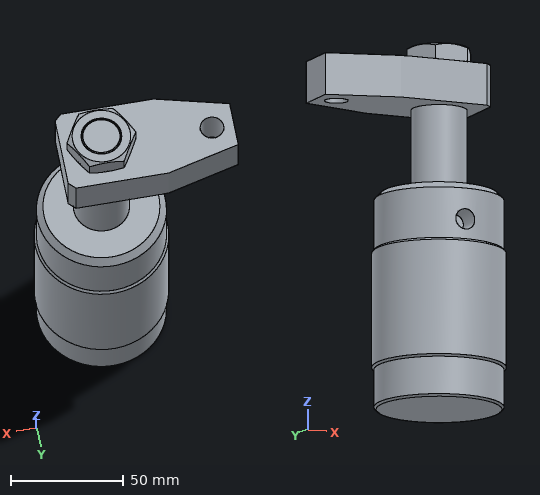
import cadquery as cq
import math

housing_height = 98.0
sleeve_radius = 30.0
end_radius = 29.0
sleeve_bottom = 18.0
sleeve_top = 72.0
edge_chamfer = 1.0
top_chamfer = 3.0

port_height = 81.0
port_inner_diameter = 8.5
port_mouth_diameter = 9.2
port_depth = 12.0

rod_diameter = 25.0
shank_length = 38.0
stud_diameter = 17.5
stud_chamfer = 0.5

arm_thickness = 19.0
arm_tip_x = -60.0
arm_taper_x = -27.0
arm_heel_x = 18.0
arm_half_width = 19.0
arm_tip_half_width = 10.5
arm_heel_chamfer = 3.0
tip_hole_x = -50.0
tip_hole_diameter = 10.5

nut_height = 9.0
nut_sides = 6
nut_across_flats = 27.0
nut_bevel_angle = 30.0
nut_face_diameter = 26.0
nut_bore_chamfer = 0.3

arm_bottom = housing_height + shank_length
arm_top = arm_bottom + arm_thickness
nut_top = arm_top + nut_height


def upright_cylinder(diameter, bottom, top, center_x=0.0):
    """Cylinder between two levels, its axis parallel to Z."""
    base = cq.Workplane("XY", origin=(center_x, 0, bottom))
    return base.circle(diameter / 2).extrude(top - bottom)


def make_housing():
    """Revolved stepped cylinder with a blind radial port."""
    profile = [
        (0, 0),
        (end_radius - edge_chamfer, 0),
        (end_radius, edge_chamfer),
        (end_radius, sleeve_bottom),
        (sleeve_radius, sleeve_bottom + edge_chamfer),
        (sleeve_radius, sleeve_top - edge_chamfer),
        (end_radius, sleeve_top),
        (end_radius, housing_height - top_chamfer),
        (end_radius - top_chamfer, housing_height),
        (0, housing_height),
    ]
    body = cq.Workplane("XZ").polyline(profile).close().revolve(360, (0, 0), (0, 1))
    return body.cut(make_port())


def make_port():
    """Port bore narrowing inwards, revolved about a line along Y."""
    inner_radius = port_inner_diameter / 2
    mouth_radius = port_mouth_diameter / 2
    profile = [
        (0, -end_radius + port_depth),
        (inner_radius, -end_radius + port_depth),
        (mouth_radius, -end_radius),
        (mouth_radius, -sleeve_radius),
        (0, -sleeve_radius),
    ]
    port = cq.Workplane("XY").polyline(profile).close().revolve(360, (0, 0), (0, 1))
    return port.translate((0, 0, port_height))


def make_rod():
    """Shank standing on the housing, with a stud reaching the top of the nut."""
    shank = upright_cylinder(rod_diameter, housing_height, arm_bottom)
    stud = upright_cylinder(stud_diameter, arm_bottom, nut_top)
    stud = stud.faces(">Z").chamfer(stud_chamfer)
    return shank.union(stud)


def make_arm():
    """Plate narrowing toward -X, bored for the stud and for a contact bolt at its tip."""
    outline = [
        (arm_tip_x, -arm_tip_half_width),
        (arm_taper_x, -arm_half_width),
        (arm_heel_x, -arm_half_width),
        (arm_heel_x, arm_half_width),
        (arm_taper_x, arm_half_width),
        (arm_tip_x, arm_tip_half_width),
    ]
    plate = cq.Workplane("XY", origin=(0, 0, arm_bottom)).polyline(outline).close().extrude(arm_thickness)
    plate = plate.edges("|Z and >X").chamfer(arm_heel_chamfer)
    stud_hole = upright_cylinder(stud_diameter, arm_bottom, arm_top)
    tip_hole = upright_cylinder(tip_hole_diameter, arm_bottom, arm_top, tip_hole_x)
    return plate.cut(stud_hole).cut(tip_hole)


def make_nut():
    """Hexagon with corners on the X axis, corners bevelled top and bottom, bored for the stud.

    The upper rim of the bore is chamfered.
    """
    corner_radius = nut_across_flats / 2 / math.cos(math.pi / nut_sides)
    face_radius = nut_face_diameter / 2
    bevel_drop = (corner_radius - face_radius) * math.tan(math.radians(nut_bevel_angle))
    base = cq.Workplane("XY", origin=(0, 0, arm_top))
    hexagon = base.polygon(nut_sides, 2 * corner_radius).extrude(nut_height)
    bevel_profile = [
        (stud_diameter / 2, arm_top),
        (face_radius, arm_top),
        (corner_radius, arm_top + bevel_drop),
        (corner_radius, nut_top - bevel_drop),
        (face_radius, nut_top),
        (stud_diameter / 2 + nut_bore_chamfer, nut_top),
        (stud_diameter / 2, nut_top - nut_bore_chamfer),
    ]
    bevelled_ring = cq.Workplane("XZ").polyline(bevel_profile).close().revolve(360, (0, 0), (0, 1))
    return hexagon.intersect(bevelled_ring)


housing = make_housing()
rod = make_rod()
arm = make_arm()
nut = make_nut()

result = cq.Compound.makeCompound([housing.val(), rod.val(), arm.val(), nut.val()])